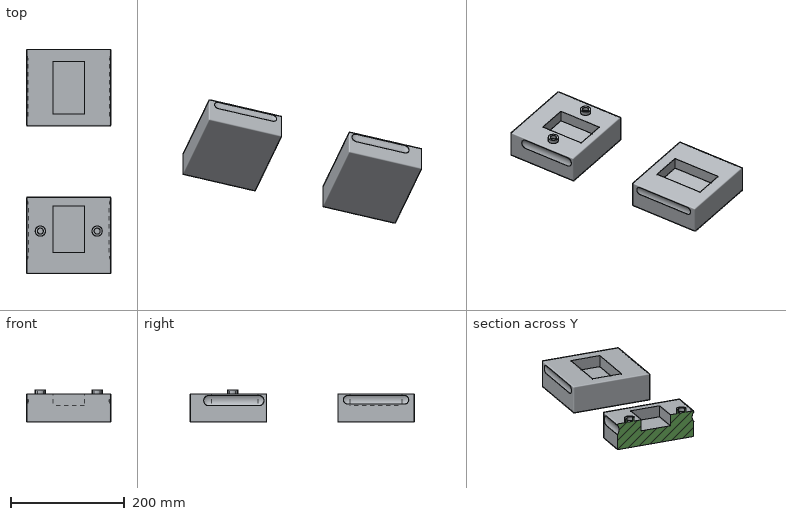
import cadquery as cq

block_width = 148.0
block_length = 135.0
block_height = 50.0
block_gap = 125.0
edge_radius = 2.0

pocket_width = 56.0
pocket_depth = 21.0
rear_pocket_length = 92.0
front_pocket_length = 82.0
front_pocket_margin = 15.5

peg_diameter = 18.0
peg_bore_diameter = 10.5
peg_height = 7.0
peg_spacing = 100.0
peg_setback = 60.0

grip_top = 47.0
rear_grip_opening = 15.0
rear_grip_depth = 1.88
rear_grip_length = 115.0
front_grip_opening = 18.0
front_grip_depth = 2.8
front_grip_length = 106.0
front_grip_margin = 5.0

block_pitch = block_length + block_gap
rear_face = block_length / 2


def make_block():
    """Plain block, centred on X and Y with its bottom at Z = 0."""
    block = cq.Workplane("XY").box(
        block_width, block_length, block_height, centered=(True, True, False)
    )
    return block.edges().fillet(edge_radius)


def pocket(length, center_y):
    """Cutter for a rectangular pocket open at the top face."""
    return (
        cq.Workplane("XY", origin=(0, center_y, block_height - pocket_depth))
        .rect(pocket_width, length)
        .extrude(pocket_depth)
    )


def grip(side, opening, depth, length, center_y):
    """Cutter for a ball-ended groove sunk `depth` into a side face."""
    radius = ((opening / 2) ** 2 + depth**2) / (2 * depth)
    axis_offset = radius - depth
    axis_x = side * (block_width / 2 + axis_offset)
    axis_z = grip_top - opening / 2
    straight = length - opening
    start_y = center_y - straight / 2
    end_y = center_y + straight / 2
    cutter = (
        cq.Workplane("XZ", origin=(axis_x, end_y, axis_z))
        .circle(radius)
        .extrude(straight)
    )
    for ball_y in (start_y, end_y):
        cutter = cutter.union(cq.Workplane("XY", origin=(axis_x, ball_y, axis_z)).sphere(radius))
    return cutter


def make_rear_block():
    block = make_block().cut(pocket(rear_pocket_length, 0))
    for side in (-1, 1):
        block = block.cut(grip(side, rear_grip_opening, rear_grip_depth, rear_grip_length, 0))
    return block


def make_front_block():
    pocket_y = rear_face - front_pocket_margin - front_pocket_length / 2
    grip_y = rear_face - front_grip_margin - front_grip_length / 2
    block = make_block().cut(pocket(front_pocket_length, pocket_y))
    for side in (-1, 1):
        block = block.cut(
            grip(side, front_grip_opening, front_grip_depth, front_grip_length, grip_y)
        )
        peg = (
            cq.Workplane("XY", origin=(side * peg_spacing / 2, rear_face - peg_setback, block_height))
            .circle(peg_diameter / 2)
            .circle(peg_bore_diameter / 2)
            .extrude(peg_height)
        )
        block = block.union(peg)
    return block


front_block = make_front_block()
rear_block = make_rear_block().translate((0, block_pitch, 0))

result = cq.Compound.makeCompound([front_block.val(), rear_block.val()])